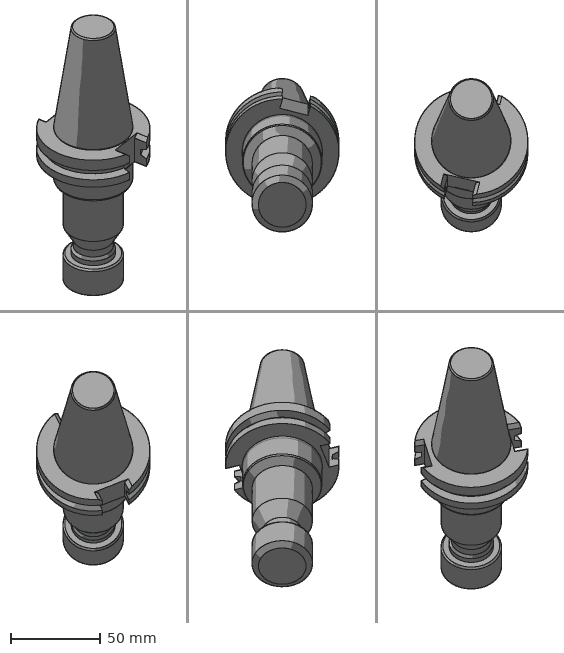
import cadquery as cq

total_height = 173.2

nut_radius = 17.0
nut_face_radius = 13.3
nut_bottom_bevel = 2.0
nut_top_z = 19.4
nut_top_chamfer = 1.0

collar_radius = 12.5
collar_top_z = 22.5
neck_radius = 11.3
neck_bottom_z = 24.5
neck_top_z = 29.0

body_radius = 16.9
body_bottom_z = 38.8
body_top_z = 67.0
shoulder_radius = 22.26
shoulder_bottom_z = 70.9
shoulder_edge_radius = 21.8
shoulder_edge_height = 1.0

flange_radius = 31.8
flange_bottom_z = 86.0
flange_top_z = 104.3
groove_radius = 28.0
groove_floor_bottom_z = 92.5
groove_floor_top_z = 95.8
groove_flare = 1.5
relief_radius = 21.92
root_flare_radius = 22.5
root_flare_height = 1.2
relief_height = 0.7

taper_base_radius = 22.26
taper_tip_radius = 12.5
tip_chamfer = 0.9

slot_width = 16.3
slot_chamfer = 2.3
left_slot_floor = 25.0
right_slot_floor = 22.7


def turned_body():
    """Revolve the half profile, listed as (radius, z) from the bottom up."""
    profile = [
        (0, 0),
        (nut_face_radius, 0),
        (nut_radius, nut_bottom_bevel),
        (nut_radius, nut_top_z - nut_top_chamfer),
        (nut_radius - nut_top_chamfer, nut_top_z),
        (collar_radius, nut_top_z),
        (collar_radius, collar_top_z),
        (neck_radius, neck_bottom_z),
        (neck_radius, neck_top_z),
        (body_radius, body_bottom_z),
        (body_radius, body_top_z),
        (shoulder_edge_radius, shoulder_bottom_z - shoulder_edge_height),
        (shoulder_radius, shoulder_bottom_z),
        (shoulder_radius, flange_bottom_z - root_flare_height),
        (root_flare_radius, flange_bottom_z),
        (flange_radius, flange_bottom_z),
        (flange_radius, groove_floor_bottom_z - groove_flare),
        (groove_radius, groove_floor_bottom_z),
        (groove_radius, groove_floor_top_z),
        (flange_radius, groove_floor_top_z + groove_flare),
        (flange_radius, flange_top_z),
        (relief_radius, flange_top_z),
        (taper_base_radius, flange_top_z + relief_height),
        (taper_tip_radius, total_height - tip_chamfer),
        (taper_tip_radius - tip_chamfer, total_height),
        (0, total_height),
    ]
    return cq.Workplane("XZ").polyline(profile).close().revolve(360, (0, 0), (0, 1))


def drive_slot(floor_distance, side):
    """Cutter for a slot through the flange height; side is +1 or -1 along X."""
    half_width = slot_width / 2
    mouth_half_width = half_width + slot_chamfer
    section = [
        (-half_width, flange_bottom_z),
        (half_width, flange_bottom_z),
        (half_width, flange_top_z - slot_chamfer),
        (mouth_half_width, flange_top_z),
        (-mouth_half_width, flange_top_z),
        (-half_width, flange_top_z - slot_chamfer),
    ]
    plane = cq.Workplane("YZ").workplane(offset=side * floor_distance)
    return plane.polyline(section).close().extrude(side * flange_radius)


result = (
    turned_body()
    .cut(drive_slot(left_slot_floor, -1))
    .cut(drive_slot(right_slot_floor, 1))
)